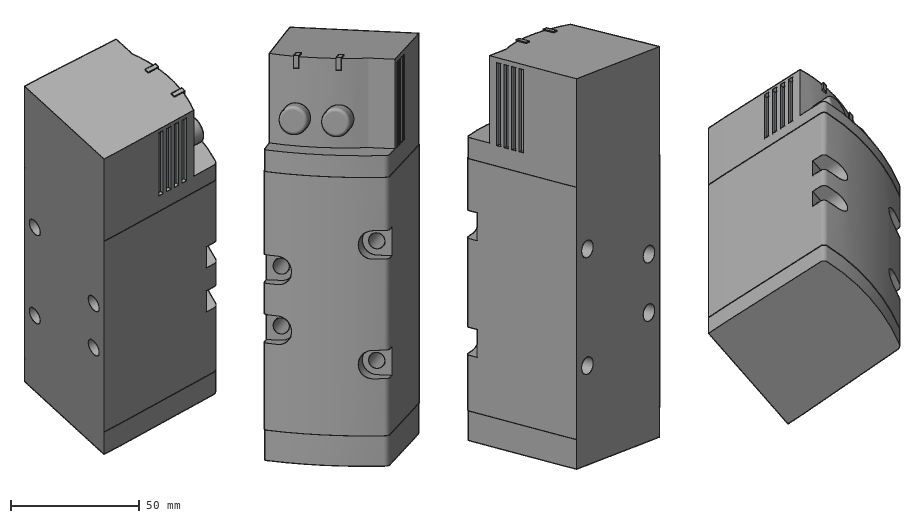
import cadquery as cq
import math

TOTAL_HEIGHT = 161.2
BASE_WIDTH = 51.6
DEPTH = 60.0

PLATE_DEPTH = 8.0
DRAFT_ANGLE = 1.0
CORNER_Y = 56.1
CORNER_RADIUS = 2.3

BODY_BOTTOM = 12.3
BODY_TOP = 116.0
CAP_INSET = 0.13

PANEL_BOTTOM = 124.8
PANEL_SHOULDER_Y = 44.5
PANEL_CROWN_Y = 48.0
PANEL_CROWN_RADIUS = 57.2

BUTTON_DIAMETER = 11.5
BUTTON_PITCH = 17.0
BUTTON_MID_X = 5.2
BUTTON_Z = 136.4
BUTTON_FRONT_Y = 54.3
BUTTON_ROUND = 1.3
TAB_WIDTH = 2.1
TAB_LENGTH = 5.2
TAB_RISE = 0.5

GROOVE_COUNT = 4
GROOVE_FIRST_Y = 39.8
GROOVE_PITCH = 3.9
GROOVE_WIDTH = 2.1
GROOVE_BOTTOM = 124.5
GROOVE_TOP = 158.6
GROOVE_DEPTH = 1.6

HOLE_MOUTH_DIAMETER = 7.1
HOLE_DIAMETER = 6.5
HOLE_X = 19.0
HOLE_MID_Z = 65.0
LEFT_HOLE_SPACING = 48.0
RIGHT_HOLE_SPACING = 24.0
POCKET_DIAMETER = 11.5
POCKET_FLOOR_Y = 50.6

OVERLAP = 1.6

HALF_WIDTH = BASE_WIDTH / 2
CAP_TOP = TOTAL_HEIGHT - TAB_RISE
BUTTON_XS = [BUTTON_MID_X - BUTTON_PITCH / 2, BUTTON_MID_X + BUTTON_PITCH / 2]


def side_half_width(y):
    """Half of the body width on the drafted sides at depth y."""
    return HALF_WIDTH - (y - PLATE_DEPTH) * math.tan(math.radians(DRAFT_ANGLE))


def block(z_bottom, z_top, inset):
    """Vertical block with drafted sides and a crowned front, shrunk by inset."""
    back_half = HALF_WIDTH - inset
    apex_y = DEPTH - inset
    corner_half = side_half_width(CORNER_Y) - inset
    return (
        cq.Workplane("XY", origin=(0, 0, z_bottom))
        .moveTo(-back_half, 0)
        .lineTo(back_half, 0)
        .lineTo(back_half, PLATE_DEPTH)
        .lineTo(corner_half, CORNER_Y - inset)
        .threePointArc((0, apex_y), (-corner_half, CORNER_Y - inset))
        .lineTo(-back_half, PLATE_DEPTH)
        .close()
        .extrude(z_top - z_bottom)
        .edges("|Z")
        .edges(">Y")
        .fillet(CORNER_RADIUS)
    )


def panel_cut():
    """Material removed in front of the panel: flat left shoulder, then a crowned front."""
    drop = PANEL_CROWN_Y - PANEL_SHOULDER_Y
    crown_half = math.sqrt(PANEL_CROWN_RADIUS**2 - (PANEL_CROWN_RADIUS - drop) ** 2)
    return (
        cq.Workplane("XY", origin=(0, 0, PANEL_BOTTOM))
        .moveTo(-BASE_WIDTH, PANEL_SHOULDER_Y)
        .lineTo(BUTTON_MID_X - crown_half, PANEL_SHOULDER_Y)
        .threePointArc(
            (BUTTON_MID_X, PANEL_CROWN_Y),
            (BUTTON_MID_X + crown_half, PANEL_SHOULDER_Y),
        )
        .lineTo(BASE_WIDTH, PANEL_SHOULDER_Y)
        .lineTo(BASE_WIDTH, 2 * DEPTH)
        .lineTo(-BASE_WIDTH, 2 * DEPTH)
        .close()
        .extrude(TOTAL_HEIGHT - PANEL_BOTTOM)
    )


def cylinder_y(x, z, diameter, y_start, y_end):
    """Cylinder along Y between two Y positions."""
    return (
        cq.Workplane("XZ", origin=(x, y_start, z))
        .circle(diameter / 2)
        .extrude(y_start - y_end)
    )


def button(x):
    """Push button standing on the panel, with a rounded rim."""
    post = cylinder_y(x, BUTTON_Z, BUTTON_DIAMETER, PANEL_SHOULDER_Y - OVERLAP, BUTTON_FRONT_Y)
    return post.faces(">Y").edges().fillet(BUTTON_ROUND)


def tab(x):
    """Marker tab wrapped over the top front edge of the panel."""
    return cq.Workplane("XY").box(TAB_WIDTH, TAB_LENGTH, TAB_LENGTH).translate(
        (x, PANEL_CROWN_Y - TAB_LENGTH / 2, TOTAL_HEIGHT - TAB_LENGTH / 2)
    )


def groove(side, index):
    """Vertical grip groove in the side given by the sign of side."""
    y = GROOVE_FIRST_Y - index * GROOVE_PITCH
    wall_x = side_half_width(y) - CAP_INSET
    height = GROOVE_TOP - GROOVE_BOTTOM
    return cq.Workplane("XY").box(2 * GROOVE_DEPTH, GROOVE_WIDTH, height).translate(
        (side * wall_x, y, GROOVE_BOTTOM + height / 2)
    )


def mounting_hole(side, z):
    """Through hole, wider at the back, with a screw-head pocket open to the side."""
    x = side * HOLE_X
    hole = cylinder_y(x, z, HOLE_DIAMETER, -OVERLAP, DEPTH)
    mouth = cylinder_y(x, z, HOLE_MOUTH_DIAMETER, -OVERLAP, PLATE_DEPTH)
    pocket = cylinder_y(x, z, POCKET_DIAMETER, POCKET_FLOOR_Y, DEPTH)
    depth = DEPTH - POCKET_FLOOR_Y
    run_out = cq.Workplane("XY").box(HOLE_X, depth, POCKET_DIAMETER).translate(
        (x + side * HOLE_X / 2, POCKET_FLOOR_Y + depth / 2, z)
    )
    return hole.union(mouth).union(pocket).union(run_out)


result = (
    block(0, BODY_BOTTOM, CAP_INSET)
    .union(block(BODY_BOTTOM, BODY_TOP, 0))
    .union(block(BODY_TOP, CAP_TOP, CAP_INSET))
    .cut(panel_cut())
)

for button_x in BUTTON_XS:
    result = result.union(button(button_x)).union(tab(button_x))

for side in (-1, 1):
    for index in range(GROOVE_COUNT):
        result = result.cut(groove(side, index))

for side, spacing in ((-1, LEFT_HOLE_SPACING), (1, RIGHT_HOLE_SPACING)):
    for hole_z in (HOLE_MID_Z - spacing / 2, HOLE_MID_Z + spacing / 2):
        result = result.cut(mounting_hole(side, hole_z))